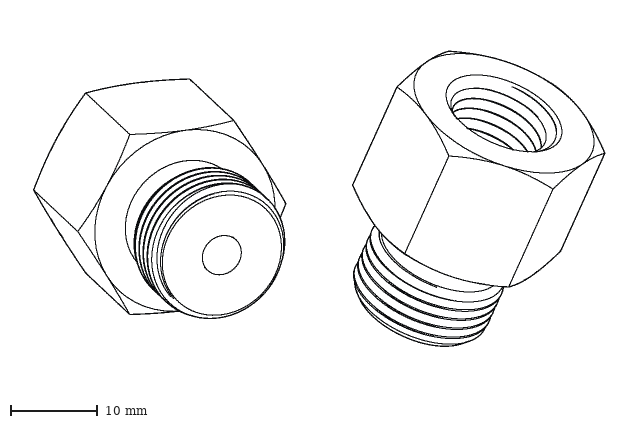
import cadquery as cq
import math

HEX_ACROSS_FLATS = 22.225
HEX_LENGTH = 16.4
HEX_CHAMFER_ANGLE = 30.0
TOTAL_LENGTH = 28.45
NECK_RADIUS = 7.35

MALE_START = 20.45
MALE_MAJOR_RADIUS = 16.662 / 2
MALE_MINOR_RADIUS = 14.95 / 2
MALE_PITCH = 1.337
MALE_HALF_ANGLE = 27.5
MALE_ROOT_ROUNDING = 0.1373
MALE_ROOT_AT_BOTTOM = 24.51
MALE_INNER_CHAMFER_LENGTH = 0.9
MALE_END_CHAMFER_LENGTH = 1.2

FEMALE_PITCH = 25.4 / 18
FEMALE_CREST_RADIUS = 5.70
FEMALE_THREAD_HEIGHT = 0.8 * FEMALE_PITCH
FEMALE_HALF_ANGLE = 30.0
FEMALE_TAPER_ANGLE = math.degrees(math.atan(1 / 32))
FEMALE_DEPTH = 11.5
FEMALE_THREAD_LENGTH = 10.5
FEMALE_ROOT_AT_BOTTOM = 0.97
CREST_FLAT = 0.05

ENTRY_RADIUS = 7.15
ENTRY_HALF_ANGLE = 45.0
DRILL_POINT_HALF_ANGLE = 59.0
THROUGH_RADIUS = 2.4

CUT_OVERLAP = 0.1


def tan_deg(angle):
    return math.tan(math.radians(angle))


def turned(points):
    """Solid of revolution about X from (x, radius) points."""
    return cq.Workplane("XY").polyline(points).close().revolve(360, (0, 0, 0), (1, 0, 0))


def thread_cutter(section, pitch, length, radius, start, taper=0.0):
    """Sweep a groove section, drawn in (radius, axial) coordinates, along a right-hand helix on X.

    The groove centre is at x = start on the -Z side.  A positive taper angle narrows the helix along +X.
    """
    if taper:
        helix = cq.Wire.makeHelix(pitch, length, radius, angle=-taper)
    else:
        helix = cq.Wire.makeHelix(pitch, length, radius)
    cutter = section.sweep(helix, isFrenet=True)
    return cutter.rotate((0, 0, 0), (0, 1, 0), 90).translate((start, 0, 0))


def hexagon():
    """Hexagonal prism with both ends chamfered by a cone."""
    corner_radius = HEX_ACROSS_FLATS / math.sqrt(3)
    flat_radius = HEX_ACROSS_FLATS / 2
    chamfer = (corner_radius - flat_radius) * tan_deg(HEX_CHAMFER_ANGLE)
    prism = cq.Workplane("YZ").polygon(6, 2 * corner_radius).extrude(HEX_LENGTH)
    envelope = turned([
        (0, 0),
        (0, flat_radius),
        (chamfer, corner_radius),
        (HEX_LENGTH - chamfer, corner_radius),
        (HEX_LENGTH, flat_radius),
        (HEX_LENGTH, 0),
    ])
    return prism.intersect(envelope)


def male_end():
    """Neck and chamfered thread blank, trimmed from a rod with the helical groove cut into it."""
    blank = turned([
        (HEX_LENGTH, 0),
        (HEX_LENGTH, NECK_RADIUS),
        (MALE_START, NECK_RADIUS),
        (MALE_START + MALE_INNER_CHAMFER_LENGTH, MALE_MAJOR_RADIUS),
        (TOTAL_LENGTH - MALE_END_CHAMFER_LENGTH, MALE_MAJOR_RADIUS),
        (TOTAL_LENGTH, NECK_RADIUS),
        (TOTAL_LENGTH, 0),
    ])
    root_radius = MALE_ROOT_ROUNDING * MALE_PITCH
    slope = tan_deg(MALE_HALF_ANGLE)
    tangent_half = root_radius * math.cos(math.radians(MALE_HALF_ANGLE))
    tangent_radius = MALE_MINOR_RADIUS + root_radius * (1 - math.sin(math.radians(MALE_HALF_ANGLE)))
    outer_radius = MALE_MAJOR_RADIUS + CUT_OVERLAP
    outer_half = tangent_half + (outer_radius - tangent_radius) * slope
    section = (
        cq.Workplane("XZ")
        .moveTo(outer_radius, -outer_half)
        .lineTo(tangent_radius, -tangent_half)
        .threePointArc((MALE_MINOR_RADIUS, 0), (tangent_radius, tangent_half))
        .lineTo(outer_radius, outer_half)
        .close()
    )
    turns_before = math.ceil((MALE_ROOT_AT_BOTTOM - MALE_START) / MALE_PITCH) + 1
    turns_after = math.ceil((TOTAL_LENGTH - MALE_ROOT_AT_BOTTOM) / MALE_PITCH) + 1
    length = (turns_before + turns_after) * MALE_PITCH
    start = MALE_ROOT_AT_BOTTOM - turns_before * MALE_PITCH
    end = start + length
    rod = turned([
        (0, 0),
        (0, MALE_MAJOR_RADIUS),
        (end + MALE_PITCH, MALE_MAJOR_RADIUS),
        (end + MALE_PITCH, 0),
    ])
    rod = rod.cut(thread_cutter(section, MALE_PITCH, length, MALE_MINOR_RADIUS, start))
    return blank.intersect(rod)


def bore():
    """Tapered bore with a drill point and the through hole."""
    end_radius = FEMALE_CREST_RADIUS - FEMALE_DEPTH * tan_deg(FEMALE_TAPER_ANGLE)
    point_length = (end_radius - THROUGH_RADIUS) / tan_deg(DRILL_POINT_HALF_ANGLE)
    return turned([
        (0, 0),
        (0, FEMALE_CREST_RADIUS),
        (FEMALE_DEPTH, end_radius),
        (FEMALE_DEPTH + point_length, THROUGH_RADIUS),
        (TOTAL_LENGTH, THROUGH_RADIUS),
        (TOTAL_LENGTH, 0),
    ])


def entry_chamfer():
    """Cone that opens the mouth of the bore."""
    return turned([
        (0, 0),
        (0, ENTRY_RADIUS),
        (ENTRY_RADIUS / tan_deg(ENTRY_HALF_ANGLE), 0),
    ])


def female_thread():
    """Helical groove around the tapered bore."""
    start = FEMALE_ROOT_AT_BOTTOM - FEMALE_PITCH
    crest_radius = FEMALE_CREST_RADIUS - start * tan_deg(FEMALE_TAPER_ANGLE)
    mouth_half = (FEMALE_PITCH - CREST_FLAT) / 2
    root_half = mouth_half - FEMALE_THREAD_HEIGHT * tan_deg(FEMALE_HALF_ANGLE)
    root_radius = crest_radius + FEMALE_THREAD_HEIGHT
    inner_radius = crest_radius - CUT_OVERLAP
    section = cq.Workplane("XZ").polyline([
        (inner_radius, -mouth_half),
        (crest_radius, -mouth_half),
        (root_radius, -root_half),
        (root_radius, root_half),
        (crest_radius, mouth_half),
        (inner_radius, mouth_half),
    ]).close()
    length = FEMALE_THREAD_LENGTH - start
    return thread_cutter(section, FEMALE_PITCH, length, crest_radius, start, FEMALE_TAPER_ANGLE)


result = (
    hexagon()
    .union(male_end())
    .cut(bore())
    .cut(female_thread())
    .cut(entry_chamfer())
)